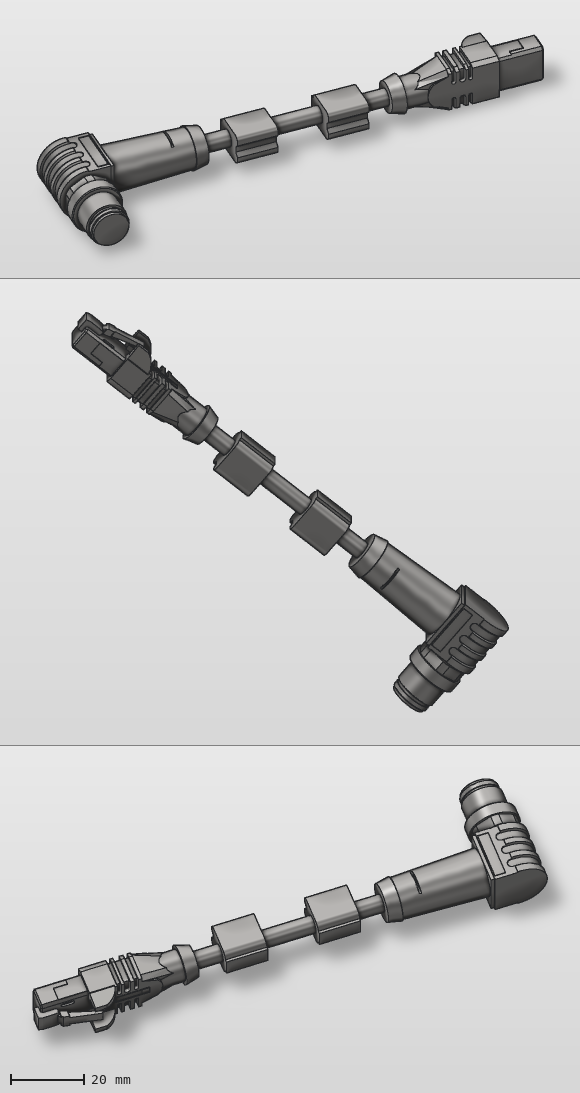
import cadquery as cq
import math


overall_length = 147.2
overall_height = 16.0
overlap = 0.9
reach = 14.7

housing_half_width = 8.1
rib_radius = overall_height / 2
groove_floor_radius = 7.5
flat_half_height = 7.7
rib_end_y = 0.6
housing_top_y = 8.2
rim_height = 1.0
rim_inset = 0.5
groove_pitch = 4.5
groove_floor_width = 2.2
groove_top_width = 3.1
groove_top_radius = 8.1
groove_end_y = 2.6
label_length = 13.8
label_width = 3.1
label_center_y = 5.3
label_depth = 0.22

nut_start_x = 8.8
nut_end_x = 12.0
collar_end_x = 15.7
barrel_end_x = 22.1
tip_ring_start_x = 23.1
tip_ring_end_x = 24.5
coupling_end_x = 25.3
neck_diameter = 9.5
nut_sides = 6
nut_across_flats = 13.1
nut_corner_diameter = 14.0
collar_diameter = 15.0
barrel_diameter = 12.0
tip_ring_diameter = 11.3
tip_diameter = 10.5
tip_groove_diameter = 10.7
collar_chamfer = 0.3

sleeve_base_diameter = 14.0
sleeve_end_diameter = 12.0
sleeve_end_y = 33.4
sleeve_ring_diameter = 12.8
sleeve_ring_end_diameter = 11.2
sleeve_ring_end_y = 37.4
sleeve_slit_y = 27.4
sleeve_slit_width = 0.6
sleeve_slit_floor_z = 5.0
cable_diameter = 5.2

clip_length = 12.0
clip_first_y = 45.3
clip_pitch = 27.1
clip_count = 2
clip_half_height = 4.7
clip_left_x = -5.2
clip_right_x = 6.8
clip_ledge_z = 2.8
clip_shoulder_x = -2.0
clip_shoulder_radius = 2.4
clip_corner_radius = 1.8
clip_notch_depth = 1.2
clip_notch_mouth_z = 2.0
clip_notch_floor_z = 0.9

tail_start_y = 92.3
tail_ring_y = 96.2
tail_start_diameter = 9.3
tail_ring_diameter = 11.5
tail_diameter = 9.3
boot_half_width = 4.7
boot_half_height = 6.9
boot_shoulder_y = 108.9
boot_front_y = 124.0
boot_left_chamfer = 0.6
boot_right_chamfer_x = 1.6
boot_right_chamfer_z = 0.7
taper_end_y = 97.7
taper_start_corners = ((boot_half_width, 5.5), (3.4, boot_half_height))
taper_end_corners = ((3.4, 2.5), (1.5, 3.1))
tongue_tip_y = 102.9
tongue_side_y = 104.3
tongue_side_z = 3.7
grip_centers_y = (110.5, 113.2, 115.5)
grip_widths = (1.2, 1.8, 1.2)
grip_depth_z = 0.9
grip_depth_x = 1.2
grip_inner_z = 2.4
boot_label_y = 111.7
boot_label_length = 10.0
boot_label_width = 2.4
boot_label_depth = 0.3

hood_x = -9.0
hood_straight_y = 120.7
hood_end_y = 116.9
hood_arc_point = (-7.5, 118.5)
hood_base_z = (4.1, 6.8)
hood_tip_z = (4.4, 6.2)
latch_channel_length = 4.5
latch_channel_half_width = 3.4
latch_channel_slope = 0.7
latch_channel_depth = 1.3

plug_half_width = 3.4
plug_front_chamfer = 0.5
plug_half_height = 5.9
plug_front_y = 137.9
plug_chamfer_x = 0.7
plug_chamfer_z = 0.95
plug_pocket_depth = 0.22
plug_pocket_left_x = -2.6
plug_pocket_step_x = 1.3
plug_pocket_step_y = 128.5
plug_pocket_end_y = 132.6
dimple_y = 130.1
dimple_z = 3.5
dimple_length = 3.8
dimple_width = 1.5
dimple_depth = 0.6

latch_front_y = overall_length - rib_radius
nose_outline = (
    (-4.7, latch_front_y), (-1.2, latch_front_y), (-1.2, 137.5), (-2.5, 136.3),
    (-2.5, 133.9), (-4.1, 133.2), (-4.9, 133.2), (-5.0, 135.1), (-5.0, 137.9),
)
lever_outline = (
    (-4.1, 133.9), (-5.0, 133.6), (-6.3, 132.5),
    (-8.4, 121.7), (-7.7, 121.4), (-4.9, 130.7), (-4.1, 133.0),
)
nose_half_height = 3.0
lever_half_height = 1.6
ear_half_height = 2.4
ear_start_y = 130.7
ear_end_y = 132.9


def cylinder_x(diameter, start_x, end_x):
    return cq.Workplane("YZ").workplane(offset=start_x).circle(diameter / 2).extrude(end_x - start_x)


def turned_about_y(points):
    return cq.Workplane("XY").polyline(points).close().revolve(360, (0, 0, 0), (0, 1, 0))


def block(x_range, y_range, z_range):
    """Box between the given limits."""
    lows = [min(r) for r in (x_range, y_range, z_range)]
    sizes = [max(r) - min(r) for r in (x_range, y_range, z_range)]
    return cq.Workplane("XY").box(*sizes, centered=False).translate(tuple(lows))


def slab(profile, half_height):
    """Closed XY profile extruded equally to both sides of Z = 0."""
    return profile.close().extrude(half_height, both=True)


def both_sides(solid):
    """The solid together with its mirror image across Z = 0."""
    return solid.union(solid.mirror("XY"))


def housing_groove(center_x):
    """Groove with sloping walls: half around the drum, then up both flat sides to a round end."""
    floor_half = groove_floor_width / 2
    top_half = groove_top_width / 2
    section = [
        (center_x - floor_half, groove_floor_radius),
        (center_x - top_half, groove_top_radius),
        (center_x + top_half, groove_top_radius),
        (center_x + floor_half, groove_floor_radius),
    ]
    ring = cq.Workplane("XY").polyline(section).close().revolve(360, (0, 0, 0), (1, 0, 0))
    size = 2 * rib_radius
    ring = ring.intersect(block((-size, size), (-size, 0), (-size, size)))

    straight_end_y = groove_end_y - top_half
    straight = cq.Workplane("XZ").polyline(section).close().extrude(-straight_end_y)
    round_end = (
        cq.Workplane("XY", origin=(center_x, straight_end_y, groove_floor_radius))
        .circle(floor_half)
        .workplane(offset=groove_top_radius - groove_floor_radius)
        .circle(top_half)
        .loft()
    )
    return ring.union(both_sides(straight.union(round_end)))


def housing():
    size_x = (-housing_half_width, housing_half_width)
    drum = cylinder_x(2 * rib_radius, *size_x)
    drum = drum.intersect(block(size_x, (-rib_radius, rib_end_y), (-rib_radius, rib_radius)))
    flats = block(size_x, (0, housing_top_y - rim_height), (-flat_half_height, flat_half_height))
    rim_x = housing_half_width - rim_inset
    rim_z = flat_half_height - rim_inset
    rim = block((-rim_x, rim_x), (0, housing_top_y), (-rim_z, rim_z))
    body = drum.union(flats).union(rim)

    for index in (-1, 0, 1):
        body = body.cut(housing_groove(index * groove_pitch))

    label = (
        cq.Workplane("XY")
        .workplane(offset=flat_half_height - label_depth)
        .center(0, label_center_y)
        .rect(label_length, label_width)
        .extrude(label_depth)
    )
    return body.cut(both_sides(label))


def coupling():
    neck = cylinder_x(neck_diameter, 0, nut_end_x)
    nut = (
        cq.Workplane("YZ")
        .workplane(offset=nut_start_x)
        .transformed(rotate=(0, 0, 180 / nut_sides))
        .polygon(nut_sides, nut_across_flats / math.cos(math.pi / nut_sides))
        .extrude(nut_end_x - nut_start_x)
        .intersect(cylinder_x(nut_corner_diameter, nut_start_x, nut_end_x))
    )
    collar = cylinder_x(collar_diameter, nut_end_x, collar_end_x).faces(">X").chamfer(collar_chamfer)
    barrel = cylinder_x(barrel_diameter, 0, barrel_end_x)
    tip_groove = cylinder_x(tip_groove_diameter, 0, tip_ring_start_x)
    tip_ring = cylinder_x(tip_ring_diameter, tip_ring_start_x, tip_ring_end_x)
    tip = cylinder_x(tip_diameter, 0, coupling_end_x)
    turned = collar.union(barrel).union(tip_groove).union(tip_ring).union(tip)
    return turned.cut(block((0, nut_end_x), (-reach, reach), (-reach, reach))).union(neck).union(nut)


def sleeve():
    body = turned_about_y([
        (0, 0),
        (sleeve_base_diameter / 2, 0),
        (sleeve_base_diameter / 2, housing_top_y),
        (sleeve_end_diameter / 2, sleeve_end_y),
        (sleeve_ring_diameter / 2, sleeve_end_y),
        (sleeve_ring_end_diameter / 2, sleeve_ring_end_y),
        (0, sleeve_ring_end_y),
    ])
    slit = block(
        (-sleeve_base_diameter, sleeve_base_diameter),
        (sleeve_slit_y - sleeve_slit_width / 2, sleeve_slit_y + sleeve_slit_width / 2),
        (sleeve_slit_floor_z, sleeve_base_diameter),
    )
    return body.cut(both_sides(slit))


def cable():
    return turned_about_y([
        (0, 0),
        (cable_diameter / 2, 0),
        (cable_diameter / 2, boot_shoulder_y),
        (0, boot_shoulder_y),
    ])


def clip(start_y):
    """Clip with stepped left shoulders and a notch along its right side."""
    right_fillet_z = clip_half_height - clip_corner_radius
    ledge_rise = clip_ledge_z - (clip_half_height - clip_shoulder_radius)
    shoulder_reach = math.sqrt(clip_shoulder_radius**2 - ledge_rise**2)
    shoulder_mid = clip_shoulder_radius * math.sqrt(0.5)
    fillet_mid = clip_corner_radius * math.sqrt(0.5)
    upper_half = (
        cq.Workplane("XZ", origin=(0, start_y + clip_length, 0))
        .moveTo(clip_left_x, 0)
        .lineTo(clip_left_x, clip_ledge_z)
        .lineTo(clip_shoulder_x - shoulder_reach, clip_ledge_z)
        .threePointArc(
            (clip_shoulder_x - shoulder_mid, clip_half_height - clip_shoulder_radius + shoulder_mid),
            (clip_shoulder_x, clip_half_height),
        )
        .lineTo(clip_right_x - clip_corner_radius, clip_half_height)
        .threePointArc(
            (clip_right_x - clip_corner_radius + fillet_mid, right_fillet_z + fillet_mid),
            (clip_right_x, right_fillet_z),
        )
        .lineTo(clip_right_x, clip_notch_mouth_z)
        .lineTo(clip_right_x - clip_notch_depth, clip_notch_floor_z)
        .lineTo(clip_right_x - clip_notch_depth, 0)
        .close()
        .extrude(clip_length)
    )
    return both_sides(upper_half)


def tail():
    return turned_about_y([
        (0, tail_start_y),
        (tail_start_diameter / 2, tail_start_y),
        (tail_ring_diameter / 2, tail_ring_y),
        (tail_diameter / 2, tail_ring_y),
        (tail_diameter / 2, boot_shoulder_y),
        (0, boot_shoulder_y),
    ])


def octagon(corners, y):
    """Closed eight-sided wire at height y, mirrored from the two corners of one quarter."""
    (side_x, side_z), (top_x, top_z) = corners
    points = [
        (side_x, -side_z), (side_x, side_z), (top_x, top_z), (-top_x, top_z),
        (-side_x, side_z), (-side_x, -side_z), (-top_x, -top_z), (top_x, -top_z),
    ]
    return cq.Wire.makePolygon([cq.Vector(x, y, z) for x, z in points], close=True)


def boot_taper():
    end = octagon(taper_end_corners, taper_end_y)
    start = octagon(taper_start_corners, boot_shoulder_y)
    shell = cq.Workplane(cq.Solid.makeLoft([end, start], True))
    tongue_base_z = taper_start_corners[0][1]
    tongue = (
        cq.Workplane("YZ")
        .moveTo(boot_shoulder_y, -tongue_base_z)
        .lineTo(tongue_side_y, -tongue_side_z)
        .threePointArc((tongue_tip_y, 0), (tongue_side_y, tongue_side_z))
        .lineTo(boot_shoulder_y, tongue_base_z)
        .close()
        .extrude(boot_half_width, both=True)
    )
    return shell.union(tongue)


def corner_wedge(side_x, width, height, start_y):
    """Triangular bar that bevels the upper boot edge at side_x from start_y to the front."""
    inner_x = side_x - math.copysign(width, side_x)
    return (
        cq.Workplane("XZ", origin=(0, boot_front_y, 0))
        .moveTo(side_x, boot_half_height)
        .lineTo(inner_x, boot_half_height)
        .lineTo(side_x, boot_half_height - height)
        .close()
        .extrude(boot_front_y - start_y)
    )


def grip_groove(center_y, width):
    """Groove in the upper grip edge, running onto both broad faces to round ends."""
    y_range = (center_y - width / 2, center_y + width / 2)
    groove = block((-reach, reach), y_range, (boot_half_height - grip_depth_z, reach))
    slot_length = 2 * (boot_half_height - grip_inner_z)
    for side in (-1, 1):
        face_slot = (
            cq.Workplane("YZ")
            .workplane(offset=side * (boot_half_width - grip_depth_x))
            .center(center_y, boot_half_height)
            .slot2D(slot_length, width, 90)
            .extrude(side * grip_depth_x)
        )
        groove = groove.union(face_slot)
    return groove


def boot():
    body = block(
        (-boot_half_width, boot_half_width),
        (boot_shoulder_y, boot_front_y),
        (-boot_half_height, boot_half_height),
    )
    left_wedge = corner_wedge(-boot_half_width, boot_left_chamfer, boot_left_chamfer, hood_end_y)
    right_wedge = corner_wedge(boot_half_width, boot_right_chamfer_x, boot_right_chamfer_z, boot_shoulder_y)
    body = body.cut(both_sides(left_wedge)).cut(both_sides(right_wedge)).union(boot_taper())
    for center_y, width in zip(grip_centers_y, grip_widths):
        body = body.cut(both_sides(grip_groove(center_y, width)))

    label = block(
        (-boot_half_width, -boot_half_width + boot_label_depth),
        (boot_label_y - boot_label_length / 2, boot_label_y + boot_label_length / 2),
        (-boot_label_width / 2, boot_label_width / 2),
    )
    floor_half = latch_channel_half_width - latch_channel_slope
    channel = (
        cq.Workplane("YZ")
        .workplane(offset=-boot_half_width)
        .center(boot_front_y, 0)
        .rect(2 * latch_channel_length, 2 * latch_channel_half_width)
        .workplane(offset=latch_channel_depth)
        .rect(2 * (latch_channel_length - latch_channel_slope), 2 * floor_half)
        .loft(ruled=True)
    )
    return body.cut(label).cut(channel)


def hood():
    """Pair of wings that guard the latch, thinner towards their outer edge."""
    side = slab(
        cq.Workplane("XY")
        .moveTo(0, boot_front_y)
        .lineTo(hood_x, boot_front_y)
        .lineTo(hood_x, hood_straight_y)
        .threePointArc(hood_arc_point, (-boot_half_width, hood_end_y))
        .lineTo(0, hood_end_y),
        boot_half_height,
    )
    section = (
        cq.Workplane("XZ", origin=(0, boot_front_y, 0))
        .moveTo(-boot_half_width + overlap, hood_base_z[0])
        .lineTo(-boot_half_width, hood_base_z[0])
        .lineTo(hood_x, hood_tip_z[0])
        .lineTo(hood_x, hood_tip_z[1])
        .lineTo(-boot_half_width, hood_base_z[1])
        .lineTo(-boot_half_width + overlap, hood_base_z[1])
        .close()
        .extrude(boot_front_y - hood_end_y)
    )
    return both_sides(section.intersect(side))


def plug():
    w, h = plug_half_width, plug_half_height
    body = (
        cq.Workplane("XZ", origin=(0, plug_front_y, 0))
        .polyline([
            (-w, -h + plug_chamfer_z), (-w + plug_chamfer_x, -h),
            (w - plug_chamfer_x, -h), (w, -h + plug_chamfer_z),
            (w, h - plug_chamfer_z), (w - plug_chamfer_x, h),
            (-w + plug_chamfer_x, h), (-w, h - plug_chamfer_z),
        ])
        .close()
        .extrude(plug_front_y - boot_front_y + overlap)
        .faces(">Y")
        .chamfer(plug_front_chamfer)
    )
    pocket = (
        cq.Workplane("XY")
        .workplane(offset=h - plug_pocket_depth)
        .polyline([
            (plug_pocket_left_x, boot_front_y), (plug_pocket_left_x, plug_pocket_end_y),
            (plug_pocket_step_x, plug_pocket_end_y), (plug_pocket_step_x, plug_pocket_step_y),
            (w, plug_pocket_step_y), (w, boot_front_y),
        ])
        .close()
        .extrude(plug_pocket_depth)
    )
    dimple = (
        cq.Workplane("YZ")
        .workplane(offset=-w)
        .center(dimple_y, dimple_z)
        .slot2D(dimple_length, dimple_width)
        .extrude(dimple_depth)
    )
    return body.cut(both_sides(pocket)).cut(both_sides(dimple))


def latch():
    nose = slab(cq.Workplane("XY").polyline(nose_outline), nose_half_height)
    lever = slab(cq.Workplane("XY").polyline(lever_outline), lever_half_height)
    ears = slab(cq.Workplane("XY").polyline(lever_outline), ear_half_height)
    ears = ears.intersect(block((-reach, 0), (ear_start_y, ear_end_y), (-reach, reach)))
    return nose.union(lever).union(ears)


result = housing().union(coupling()).union(sleeve()).union(cable())
for clip_index in range(clip_count):
    result = result.union(clip(clip_first_y + clip_index * clip_pitch))
result = result.union(tail()).union(boot()).union(hood()).union(plug()).union(latch())